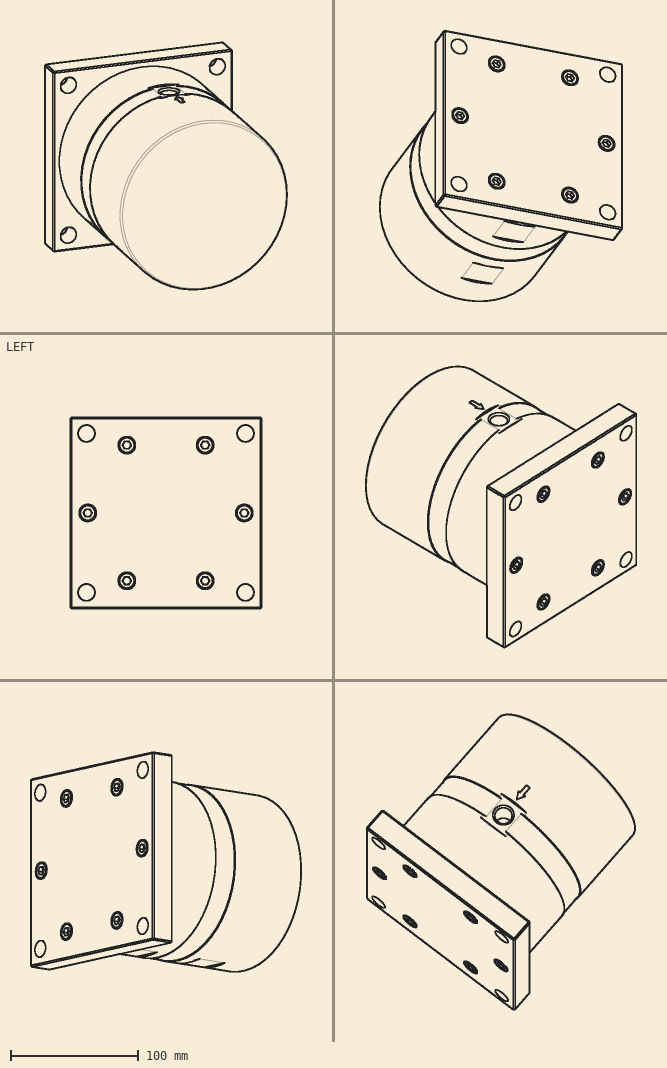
import cadquery as cq
import math

total_length = 157.0
plate_side = 150.0
plate_thickness = 20.3
plate_chamfer = 1.1
body_radius = 140.0 / 2
end_rounding = 1.5

band_center = total_length / 2
band_width = 20.1
band_depth = 0.5

flat_depth = 1.18
flat_length = 26.8
flat_wall_run = 0.6
lower_flat_offset = 34.7

port_diameter = 13.5
port_mouth_diameter = 16.6
port_depth = 23.5

arrow_tip = 95.0
arrow_head_length = 6.1
arrow_length = 14.1
arrow_head_half_width = 3.5
arrow_shaft_half_width = 1.7
arrow_depth = 0.3

mounting_hole_diameter = 13.0
mounting_hole_spacing = 124.7

screw_count = 6
screw_circle_radius = 61.4
counterbore_diameter = 13.5
counterbore_depth = 8.0
screw_head_diameter = 13.0
screw_head_chamfer = 0.8
socket_across_flats = 6.0
socket_depth = 4.0
socket_cone_depth = 1.5


def make_plate():
    plate = cq.Workplane("XY").box(
        plate_thickness, plate_side, plate_side, centered=(False, True, True)
    )
    return plate.edges().chamfer(plate_chamfer)


def make_body():
    """Round body starting at the back of the plate, with a rounded free end."""
    body = cq.Workplane("YZ").workplane(offset=plate_thickness).circle(body_radius)
    body = body.extrude(total_length - plate_thickness)
    return body.faces(">X").edges().fillet(end_rounding)


def make_band_cutter():
    """Ring whose trapezoid section gives the band its sloping walls."""
    half_width = band_width / 2
    floor_half_width = half_width - band_depth
    floor_radius = body_radius - band_depth
    outer_radius = body_radius + band_depth
    outer_half_width = half_width + band_depth
    return (
        cq.Workplane("XY")
        .polyline([
            (band_center - floor_half_width, floor_radius),
            (band_center + floor_half_width, floor_radius),
            (band_center + outer_half_width, outer_radius),
            (band_center - outer_half_width, outer_radius),
        ])
        .close()
        .revolve(360, (0, 0, 0), (1, 0, 0))
    )


def make_flat_cutter(center_x, side):
    """Prism along Y that mills a flat; side is +1 for the top, -1 for the bottom."""
    half_length = flat_length / 2
    floor_half_length = half_length - flat_wall_run
    floor_z = side * (body_radius - flat_depth)
    outer_z = side * body_radius
    return (
        cq.Workplane("XZ")
        .polyline([
            (center_x - floor_half_length, floor_z),
            (center_x + floor_half_length, floor_z),
            (center_x + half_length, outer_z),
            (center_x - half_length, outer_z),
        ])
        .close()
        .extrude(body_radius / 2, both=True)
    )


def make_port_cutter():
    """Blind vertical hole with a 45 degree countersunk mouth."""
    flat_z = body_radius - flat_depth
    port_radius = port_diameter / 2
    mouth_radius = port_mouth_diameter / 2
    mouth_chamfer = mouth_radius - port_radius
    return (
        cq.Workplane("XZ", origin=(band_center, 0, flat_z))
        .polyline([
            (0, 0),
            (mouth_radius, 0),
            (port_radius, -mouth_chamfer),
            (port_radius, -port_depth),
            (0, -port_depth),
        ])
        .close()
        .revolve(360, (0, 0, 0), (0, 1, 0))
    )


def make_arrow_cutter():
    head_base = arrow_tip + arrow_head_length
    tail = arrow_tip + arrow_length
    return (
        cq.Workplane("XY")
        .workplane(offset=body_radius - arrow_depth)
        .polyline([
            (arrow_tip, 0),
            (head_base, arrow_head_half_width),
            (head_base, arrow_shaft_half_width),
            (tail, arrow_shaft_half_width),
            (tail, -arrow_shaft_half_width),
            (head_base, -arrow_shaft_half_width),
            (head_base, -arrow_head_half_width),
        ])
        .close()
        .extrude(2 * arrow_depth)
    )


def make_mounting_holes():
    return (
        cq.Workplane("YZ")
        .rect(mounting_hole_spacing, mounting_hole_spacing, forConstruction=True)
        .vertices()
        .circle(mounting_hole_diameter / 2)
        .extrude(plate_thickness)
    )


def make_screw_head():
    """Chamfered head, flush with X = 0, with a hexagon socket ending in a cone."""
    head = cq.Workplane("YZ").circle(screw_head_diameter / 2).extrude(counterbore_depth)
    head = head.faces("<X").edges().chamfer(screw_head_chamfer)
    socket_across_corners = socket_across_flats / math.cos(math.pi / 6)
    socket = cq.Workplane("YZ").polygon(6, socket_across_corners).extrude(socket_depth)
    cone = cq.Solid.makeCone(
        socket_across_flats / 2,
        0,
        socket_cone_depth,
        pnt=cq.Vector(socket_depth, 0, 0),
        dir=cq.Vector(1, 0, 0),
    )
    return head.cut(socket).cut(cq.Workplane(cone))


def add_screws(part):
    """Sink each screw head into its own counterbore around the screw circle."""
    counterbore = cq.Workplane("YZ").circle(counterbore_diameter / 2).extrude(counterbore_depth)
    head = make_screw_head()
    for index in range(screw_count):
        angle = 2 * math.pi * index / screw_count
        place = (
            0,
            screw_circle_radius * math.cos(angle),
            screw_circle_radius * math.sin(angle),
        )
        part = part.cut(counterbore.translate(place)).union(head.translate(place))
    return part


result = make_plate().union(make_body())
result = result.cut(make_band_cutter())
result = result.cut(make_flat_cutter(band_center, 1))
for offset in (-lower_flat_offset, lower_flat_offset):
    result = result.cut(make_flat_cutter(band_center + offset, -1))
result = result.cut(make_port_cutter())
result = result.cut(make_arrow_cutter())
result = result.cut(make_mounting_holes())
result = add_screws(result)